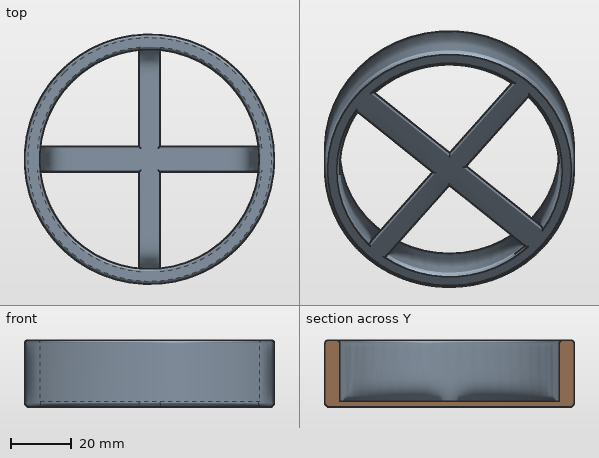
import cadquery as cq
outer_diameter = 82.0
inner_diameter = 72.0
total_height = 22.0
top_edge_fillet = 1.0
bottom_chamfer = 1.0
chamfer_blend_radius = 1.0

spoke_thickness = 2.0
spoke_edge_fillet = 0.7
spoke_width_along_x = 8.5
spoke_width_along_y = 7.0


def make_ring():
    """Tube with a rounded top rim and a chamfered bottom rim blended into the wall."""
    ring = (
        cq.Workplane("XY")
        .circle(outer_diameter / 2)
        .circle(inner_diameter / 2)
        .extrude(total_height)
    )
    ring = ring.faces(">Z").edges().fillet(top_edge_fillet)
    ring = ring.faces("<Z").edges().chamfer(bottom_chamfer)
    chamfer_top_edges = cq.selectors.BoxSelector(
        (-outer_diameter, -outer_diameter, bottom_chamfer / 2),
        (outer_diameter, outer_diameter, bottom_chamfer * 1.5),
        boundingbox=True,
    )
    return ring.edges(chamfer_top_edges).fillet(chamfer_blend_radius)


def make_spokes():
    """Cross whose long edges are rounded; the ends are buried in the ring wall."""
    spoke_length = (outer_diameter + inner_diameter) / 2
    spoke_x = cq.Workplane("XY").rect(spoke_length, spoke_width_along_x).extrude(spoke_thickness)
    spoke_y = cq.Workplane("XY").rect(spoke_width_along_y, spoke_length).extrude(spoke_thickness)
    cross = spoke_x.union(spoke_y)
    return cross.faces("<Z or >Z").edges().fillet(spoke_edge_fillet)


result = make_ring().union(make_spokes())